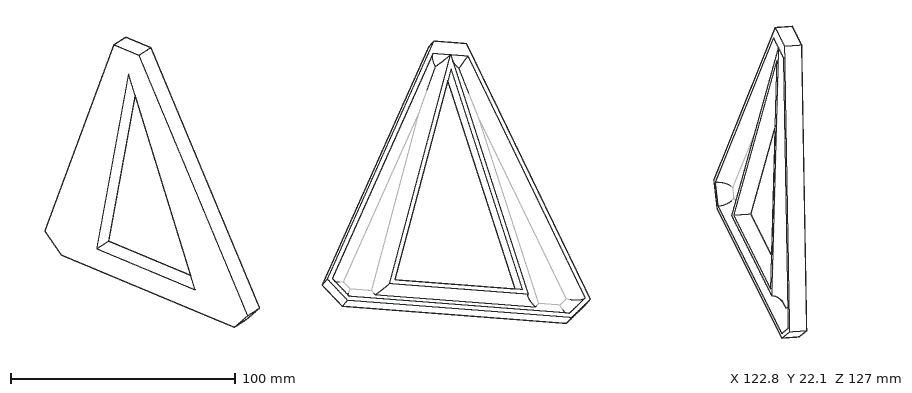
import cadquery as cq
import math

thickness = 8.0
lean_angle = 6.4
overall_height = 127.0
half_width = 61.41
bottom_half_width = 52.3
top_half_width = 7.6
corner_height = 9.4

opening_base_height = 11.5
opening_apex_height = 114.0
opening_half_width = 29.7

wall = 2.0
top_rim = 6.0
front_skin = 2.0
floor_fillet = 5.8

lean = math.radians(lean_angle)
plate_length = (overall_height - thickness * math.sin(lean)) / math.cos(lean)


def outer_outline():
    """Tall tapered outline with a flat top and cut bottom corners, in the XZ plane."""
    right_side = [
        (bottom_half_width, 0),
        (half_width, corner_height),
        (top_half_width, plate_length),
    ]
    left_side = [(-x, z) for x, z in reversed(right_side)]
    return cq.Workplane("XZ").polyline(right_side + left_side).close()


def opening_outline():
    """Triangle of the through opening, in the XZ plane."""
    corners = [
        (-opening_half_width, opening_base_height),
        (opening_half_width, opening_base_height),
        (0, opening_apex_height),
    ]
    return cq.Workplane("XZ").polyline(corners).close()


def back_hollow():
    """Hollow between the outer rim and the wall around the opening, with rounded floor edges."""
    hollow_depth = thickness - front_skin
    inside_rim = outer_outline().offset2D(-wall).extrude(hollow_depth)
    above_hollow = (
        cq.Workplane("XZ")
        .center(0, plate_length)
        .rect(2 * half_width, 2 * top_rim)
        .extrude(hollow_depth)
    )
    inside_rim = inside_rim.cut(above_hollow)
    inside_rim = inside_rim.faces("<Y").edges().fillet(floor_fillet)

    around_opening = (
        cq.Workplane("XZ")
        .center(0, plate_length / 2)
        .rect(2 * plate_length, 2 * plate_length)
        .extrude(hollow_depth)
    )
    island = opening_outline().offset2D(wall, "intersection").extrude(hollow_depth)
    around_opening = around_opening.cut(island)
    wall_foot = around_opening.faces("<Y").val().innerWires()[0].Edges()
    around_opening = around_opening.newObject(wall_foot).fillet(floor_fillet)
    return inside_rim.intersect(around_opening)


plate = outer_outline().extrude(thickness)
plate = plate.cut(opening_outline().extrude(thickness))
plate = plate.cut(back_hollow())

result = plate.rotate((0, 0, 0), (1, 0, 0), lean_angle)